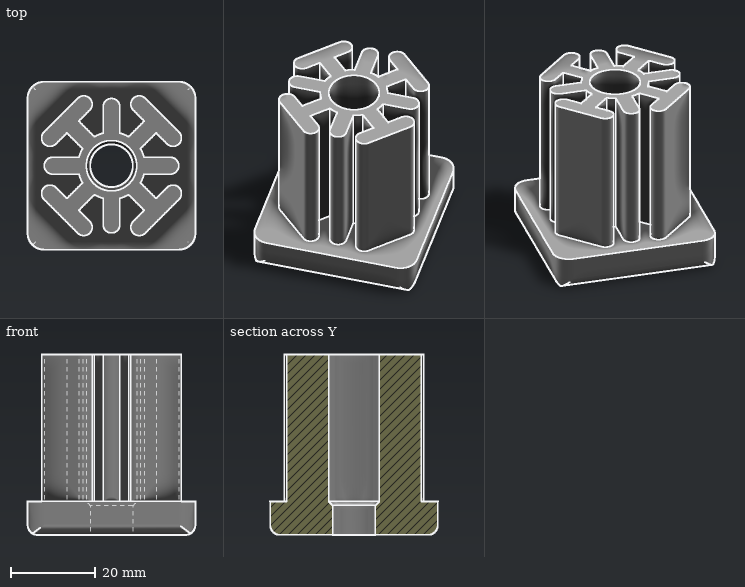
import cadquery as cq

foot_side = 40.0
foot_height = 8.0
corner_radius = 4.0
bottom_fillet = 2.5

total_height = 43.0
stem_height = total_height - foot_height
hub_diameter = 16.0
rib_width = 4.0
straight_rib_reach = 16.0
diagonal_bar_offset = 15.0
diagonal_bar_length = 15.35

bore_top_diameter = 12.0
bore_bottom_diameter = 10.1


def make_foot():
    """Square foot with rolled lower edges that meet in mitres, and rounded corners."""
    block = cq.Workplane("XY").box(foot_side, foot_side, foot_height, centered=(True, True, False))
    block = block.faces("<Z").edges().fillet(bottom_fillet)
    rounded_column = (
        cq.Workplane("XY")
        .rect(foot_side, foot_side)
        .extrude(foot_height)
        .edges("|Z")
        .fillet(corner_radius)
    )
    return block.intersect(rounded_column)


def stem_plane(angle):
    """Workplane on top of the foot with its x axis turned to the given angle."""
    return cq.Workplane("XY", origin=(0, 0, foot_height)).transformed(rotate=(0, 0, angle))


def make_straight_ribs(angle):
    """Pair of opposite ribs with rounded tips."""
    return stem_plane(angle).slot2D(2 * straight_rib_reach, rib_width).extrude(stem_height)


def make_diagonal_rib(angle):
    """T-shaped rib: a web from the axis with a round-ended crossbar."""
    web = (
        stem_plane(angle)
        .center(diagonal_bar_offset / 2, 0)
        .rect(diagonal_bar_offset, rib_width)
        .extrude(stem_height)
    )
    crossbar = (
        stem_plane(angle)
        .center(diagonal_bar_offset, 0)
        .slot2D(diagonal_bar_length, rib_width, 90)
        .extrude(stem_height)
    )
    return web.union(crossbar)


def make_bore():
    """Stepped through bore, turned about the axis, with a 45 degree seat at the step."""
    top_radius = bore_top_diameter / 2
    bottom_radius = bore_bottom_diameter / 2
    seat_height = top_radius - bottom_radius
    half_section = [
        (0, 0),
        (bottom_radius, 0),
        (bottom_radius, foot_height - seat_height),
        (top_radius, foot_height),
        (top_radius, total_height),
        (0, total_height),
    ]
    return cq.Workplane("XZ").polyline(half_section).close().revolve(360, (0, 0, 0), (0, 1, 0))


result = make_foot().union(stem_plane(0).circle(hub_diameter / 2).extrude(stem_height))
for rib_angle in (0, 90):
    result = result.union(make_straight_ribs(rib_angle))
for rib_angle in (45, 135, 225, 315):
    result = result.union(make_diagonal_rib(rib_angle))
result = result.cut(make_bore())